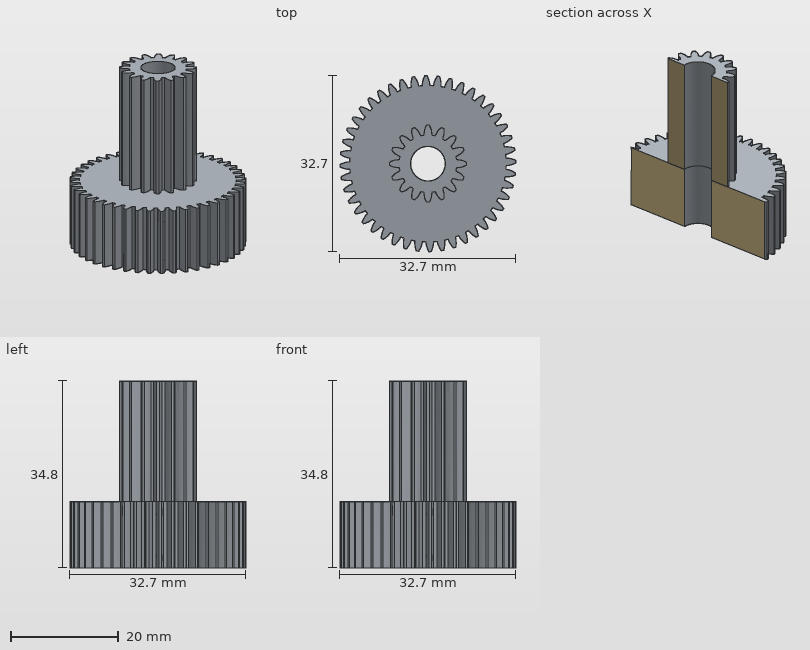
import cadquery as cq
import math

total_height = 34.75
wheel_height = 12.37
bore_diameter = 6.4

wheel_teeth = 44
wheel_tip_diameter = 32.75
wheel_tooth_fill = 0.47
wheel_phase = 1.36
wheel_foot_flare = 0.0

pinion_teeth = 16
pinion_tip_diameter = 14.32
pinion_tooth_fill = 0.5
pinion_phase = 0.0
pinion_foot_flare = 2.0

pressure_angle = math.radians(20)
addendum_factor = 1.0
tooth_depth = 1.8
flank_intervals = 4


def polar(radius, angle):
    return (radius * math.cos(angle), radius * math.sin(angle))


def involute(angle):
    return math.tan(angle) - angle


def gear_profile(teeth, tip_diameter, tooth_fill, phase_degrees, flare_degrees):
    """Closed outline of a spur gear with involute flanks, on the XY plane."""
    module = tip_diameter / (teeth + 2 * addendum_factor)
    pitch_radius = teeth * module / 2
    base_radius = pitch_radius * math.cos(pressure_angle)
    tip_radius = tip_diameter / 2
    root_radius = tip_radius - tooth_depth
    flank_start = max(base_radius, root_radius)
    flank_step = (tip_radius - flank_start) / flank_intervals
    flank_radii = [flank_start + i * flank_step for i in range(flank_intervals + 1)]
    if root_radius < base_radius:
        flank_radii.insert(0, root_radius)
    pitch = 2 * math.pi / teeth

    def half_angle(radius):
        """Half the angle a tooth fills at a radius; the foot flares inside the base circle."""
        base_half_angle = tooth_fill * pitch / 2 + involute(pressure_angle)
        if radius < base_radius:
            return base_half_angle + math.radians(flare_degrees)
        return base_half_angle - involute(math.acos(base_radius / radius))

    root_half_angle = half_angle(root_radius)
    first_centre = math.radians(phase_degrees)
    outline = cq.Workplane("XY").moveTo(*polar(root_radius, first_centre - root_half_angle))

    for i in range(teeth):
        centre = first_centre + i * pitch
        rising = [polar(r, centre - half_angle(r)) for r in flank_radii]
        falling = [polar(r, centre + half_angle(r)) for r in reversed(flank_radii)]
        outline = outline.spline(rising[1:], includeCurrent=True)
        outline = outline.threePointArc(polar(tip_radius, centre), falling[0])
        outline = outline.spline(falling[1:], includeCurrent=True)
        next_root = polar(root_radius, centre + pitch - root_half_angle)
        outline = outline.threePointArc(polar(root_radius, centre + pitch / 2), next_root)
    return outline.close()


def bored_gear(teeth, tip_diameter, tooth_fill, phase_degrees, flare_degrees, height):
    """Spur gear standing on Z = 0 with the shaft bore through it."""
    blank = gear_profile(teeth, tip_diameter, tooth_fill, phase_degrees, flare_degrees).extrude(height)
    bore = cq.Workplane("XY").circle(bore_diameter / 2).extrude(height)
    return blank.cut(bore)


wheel = bored_gear(
    wheel_teeth,
    wheel_tip_diameter,
    wheel_tooth_fill,
    wheel_phase,
    wheel_foot_flare,
    wheel_height,
)

pinion = bored_gear(
    pinion_teeth,
    pinion_tip_diameter,
    pinion_tooth_fill,
    pinion_phase,
    pinion_foot_flare,
    total_height - wheel_height,
)
pinion = pinion.translate((0, 0, wheel_height))

result = cq.Compound.makeCompound([wheel.val(), pinion.val()])